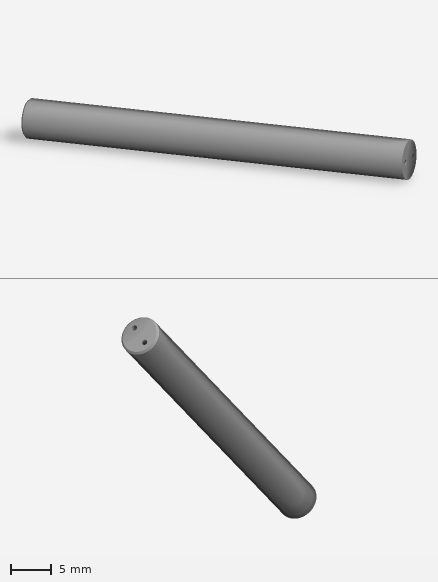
import cadquery as cq
import math

ROD_LENGTH = 50.0
ROD_DIAMETER = 5.0
RIM_CHAMFER = 0.25

HOLE_DIAMETER = 0.7
HOLE_CIRCLE_RADIUS = 1.3
HOLE_COUNT = 2
HELIX_ANGLE = 30.0

HELIX_LEAD = math.pi * ROD_DIAMETER / math.tan(math.radians(HELIX_ANGLE))
TOTAL_TWIST = 360.0 * ROD_LENGTH / HELIX_LEAD
START_ANGLE = -TOTAL_TWIST


def rod():
    """Round rod along X, starting at X = 0, with its -X rim chamfered."""
    bar = cq.Workplane("YZ").circle(ROD_DIAMETER / 2).extrude(ROD_LENGTH)
    return bar.faces("<X").chamfer(RIM_CHAMFER)


def helical_hole(index):
    """Cutter for one coolant hole that winds about the rod axis from end to end."""
    angle = math.radians(START_ANGLE + index * 360.0 / HOLE_COUNT)
    y = HOLE_CIRCLE_RADIUS * math.cos(angle)
    z = HOLE_CIRCLE_RADIUS * math.sin(angle)
    profile = cq.Workplane("YZ").pushPoints([(y, z)]).circle(HOLE_DIAMETER / 2)
    return profile.twistExtrude(ROD_LENGTH, TOTAL_TWIST)


result = rod()
for hole_index in range(HOLE_COUNT):
    result = result.cut(helical_hole(hole_index))